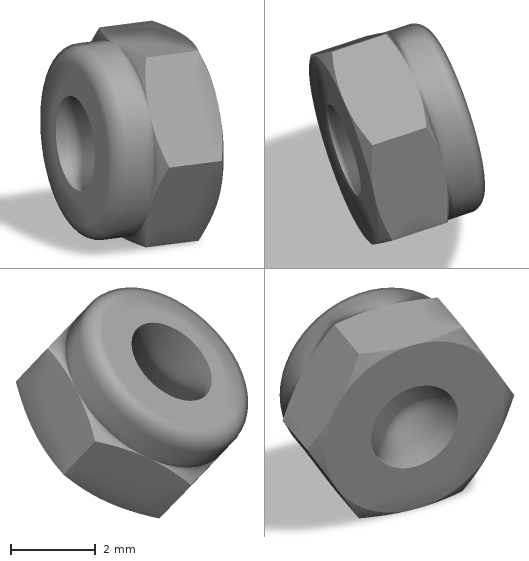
import cadquery as cq
import math

across_corners = 5.4
total_length = 2.79
hex_length = 1.775
collar_edge_radius = 0.385
bore_diameter = 2.26
sleeve_diameter = 2.845
chamfer_angle = 30.0

across_flats = across_corners * math.cos(math.radians(30))
collar_radius = across_flats / 2
collar_length = total_length - hex_length
corner_drop = (across_corners / 2 - collar_radius) * math.tan(math.radians(chamfer_angle))


def cylinder(diameter, start, length):
    """Cylinder on the Y axis, running from y = start toward +Y."""
    plane = cq.Workplane("XZ", origin=(0, start, 0))
    return plane.circle(diameter / 2).extrude(-length)


def chamfered_hexagon():
    """Hexagonal prism with its corners trimmed by a cone at both ends."""
    prism = (
        cq.Workplane("XZ", origin=(0, collar_length, 0))
        .polygon(6, across_corners)
        .extrude(-hex_length)
    )
    corner_radius = across_corners / 2
    envelope = (
        cq.Workplane("XY")
        .moveTo(0, collar_length)
        .lineTo(collar_radius, collar_length)
        .lineTo(corner_radius, collar_length + corner_drop)
        .lineTo(corner_radius, total_length - corner_drop)
        .lineTo(collar_radius, total_length)
        .lineTo(0, total_length)
        .close()
        .revolve(360, (0, 0, 0), (0, 1, 0))
    )
    return prism.intersect(envelope)


def rounded_collar():
    """Round collar with a rounded outer edge at its free end."""
    collar = cylinder(across_flats, 0, collar_length)
    return collar.faces("<Y").edges().fillet(collar_edge_radius)


def make_nut():
    """Hexagon and collar with a straight hole that holds the sleeve."""
    body = chamfered_hexagon().union(rounded_collar())
    return body.cut(cylinder(sleeve_diameter, 0, total_length))


def make_sleeve():
    """Plain sleeve lining the hole of the nut, flush with both end faces."""
    sleeve = cylinder(sleeve_diameter, 0, total_length)
    return sleeve.cut(cylinder(bore_diameter, 0, total_length))


nut = make_nut().solids()
sleeve = make_sleeve().solids()
result = cq.Compound.makeCompound([nut.val(), sleeve.val()])